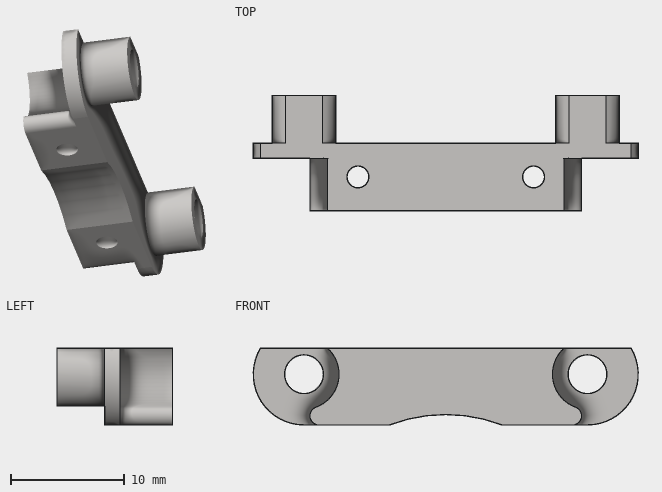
import cadquery as cq
import math

length = 34.0
height = 6.8

body_depth = 4.62
plate_thickness = 1.35
boss_length = 4.2

end_radius = 4.5
boss_radius = 2.82
mount_hole_diameter = 3.4
recess_radius = 3.1
lip_radius = 0.8

arch_half_width = 4.95
arch_rise = 0.92

pin_hole_diameter = 1.9
pin_hole_x = 7.75
pin_hole_y = 3.0

mount_x = length / 2 - end_radius
bottom_z = -end_radius
top_z = height - end_radius
plate_back = body_depth + plate_thickness
total_depth = plate_back + boss_length


def front_plane(y):
    """XZ sketch plane at the given depth, extruding toward +Y for negative distances."""
    return cq.Workplane("XZ", origin=(0, y, 0))


def make_plate():
    """Full-length plate with round ends cut flat along the top."""
    top_half = mount_x + math.sqrt(end_radius**2 - top_z**2)
    return (
        front_plane(body_depth)
        .moveTo(-top_half, top_z)
        .lineTo(top_half, top_z)
        .threePointArc((length / 2, 0), (mount_x, bottom_z))
        .lineTo(-mount_x, bottom_z)
        .threePointArc((-length / 2, 0), (-top_half, top_z))
        .close()
        .extrude(-plate_thickness)
    )


def make_body():
    """Central block whose ends are hollowed around the mounting holes and finish in a rounded lip."""
    lip_z = bottom_z + lip_radius
    center_distance = recess_radius + lip_radius
    lip_offset = math.sqrt(center_distance**2 - lip_z**2)
    lip_x = mount_x - lip_offset
    joint_x = mount_x - lip_offset * recess_radius / center_distance
    joint_z = lip_z * recess_radius / center_distance
    top_half = mount_x - math.sqrt(recess_radius**2 - top_z**2)
    recess_x = mount_x - recess_radius
    lip_tip_x = lip_x + lip_radius
    return (
        front_plane(0)
        .moveTo(-top_half, top_z)
        .lineTo(top_half, top_z)
        .threePointArc((recess_x, 0), (joint_x, joint_z))
        .threePointArc((lip_tip_x, lip_z), (lip_x, bottom_z))
        .lineTo(-lip_x, bottom_z)
        .threePointArc((-lip_tip_x, lip_z), (-joint_x, joint_z))
        .threePointArc((-recess_x, 0), (-top_half, top_z))
        .close()
        .extrude(-body_depth)
    )


def make_boss(x):
    """Round boss behind the plate, cut flat level with the top face."""
    flat_half = math.sqrt(boss_radius**2 - top_z**2)
    return (
        front_plane(plate_back)
        .moveTo(x - flat_half, top_z)
        .lineTo(x + flat_half, top_z)
        .threePointArc((x, -boss_radius), (x - flat_half, top_z))
        .close()
        .extrude(-boss_length)
    )


def make_arch():
    """Cutter for the shallow arch along the bottom."""
    return (
        front_plane(0)
        .moveTo(-arch_half_width, bottom_z)
        .threePointArc((0, bottom_z + arch_rise), (arch_half_width, bottom_z))
        .close()
        .extrude(-plate_back)
    )


result = make_plate().union(make_body())
for side in (-1, 1):
    result = result.union(make_boss(side * mount_x))

mount_holes = (
    front_plane(0)
    .pushPoints([(-mount_x, 0), (mount_x, 0)])
    .circle(mount_hole_diameter / 2)
    .extrude(-total_depth)
)
pin_holes = (
    cq.Workplane("XY", origin=(0, 0, bottom_z))
    .pushPoints([(-pin_hole_x, pin_hole_y), (pin_hole_x, pin_hole_y)])
    .circle(pin_hole_diameter / 2)
    .extrude(height)
)
result = result.cut(make_arch()).cut(mount_holes).cut(pin_holes)